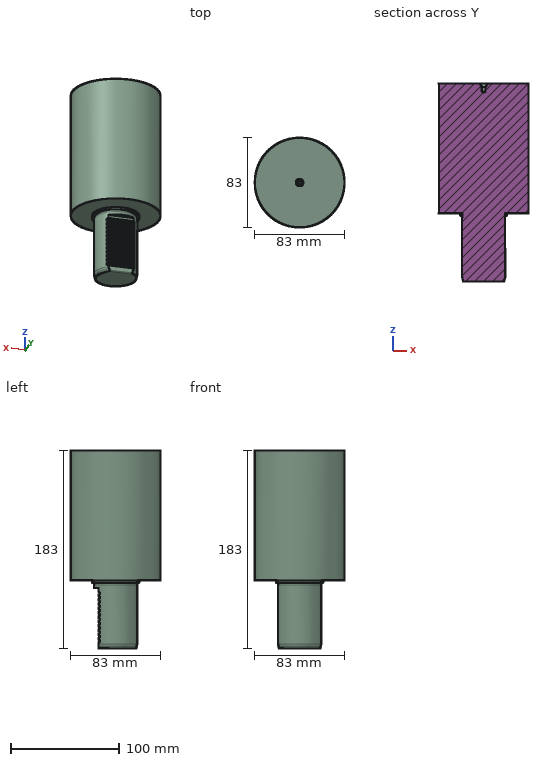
import cadquery as cq
import math

BLOCK_RADIUS = 41.5
TOTAL_HEIGHT = 183.0
SHANK_LENGTH = 63.0
BLOCK_HEIGHT = TOTAL_HEIGHT - SHANK_LENGTH
SHANK_DIAMETER = 40.0
SHANK_RADIUS = SHANK_DIAMETER / 2

RING_OUTER_RADIUS = 22.0
RING_SECTION_RADIUS = 1.1
RING_CENTRE_RADIUS = RING_OUTER_RADIUS - RING_SECTION_RADIUS
NECK_RADIUS = RING_CENTRE_RADIUS - RING_SECTION_RADIUS
NECK_HEIGHT = 2 * RING_SECTION_RADIUS
NECK_TAPER_END = 4.0

LEAD_IN_LENGTH = 4.2
END_TAPER_LENGTH = 2.0
END_TAPER_RADIUS = 19.5
END_RADIUS = 19.0
END_ROUNDING = 1.0

FLAT_DISTANCE = 16.0
FLAT_START = 7.0

GROOVE_COUNT = 12
FIRST_GROOVE = 11.7
GROOVE_SPAN = 44.1
GROOVE_PITCH = GROOVE_SPAN / (GROOVE_COUNT - 1)
GROOVE_DEPTH = 1.3
GROOVE_ROOT_WIDTH = 0.7
GROOVE_ANGLE = 90.0

COUNTERSINK_DIAMETER = 6.8
COUNTERSINK_RADIUS = COUNTERSINK_DIAMETER / 2
COUNTERSINK_ANGLE = 60.0
PILOT_RADIUS = 1.55
PILOT_DEPTH = 7.3
DRILL_POINT_ANGLE = 120.0


def cone_depth(radius_change, included_angle):
    """Axial length over which a cone changes its radius by the given amount."""
    return radius_change / math.tan(math.radians(included_angle / 2))


def turned_body():
    """Block, neck and shank as one turned profile."""
    return (
        cq.Workplane("XZ")
        .moveTo(0, BLOCK_HEIGHT)
        .lineTo(-BLOCK_RADIUS, BLOCK_HEIGHT)
        .lineTo(-BLOCK_RADIUS, 0)
        .lineTo(-NECK_RADIUS, 0)
        .lineTo(-NECK_RADIUS, -NECK_HEIGHT)
        .lineTo(-SHANK_RADIUS, -NECK_TAPER_END)
        .lineTo(-SHANK_RADIUS, LEAD_IN_LENGTH - SHANK_LENGTH)
        .lineTo(-END_TAPER_RADIUS, END_TAPER_LENGTH - SHANK_LENGTH)
        .lineTo(-END_RADIUS, -SHANK_LENGTH)
        .lineTo(0, -SHANK_LENGTH)
        .close()
        .revolve(360, (0, 0, 0), (0, 1, 0))
    )


def flat_cutter():
    """Box that leaves a flat on the +Y side from FLAT_START to the free end."""
    flat_length = SHANK_LENGTH - FLAT_START
    return (
        cq.Workplane("XY")
        .box(SHANK_DIAMETER, SHANK_RADIUS, flat_length, centered=(True, False, False))
        .translate((0, FLAT_DISTANCE, -SHANK_LENGTH))
    )


def groove_cutter(z):
    """Tapered bar along X that cuts one groove into the flat."""
    half_root = GROOVE_ROOT_WIDTH / 2
    half_mouth = half_root + GROOVE_DEPTH * math.tan(math.radians(GROOVE_ANGLE / 2))
    root = FLAT_DISTANCE - GROOVE_DEPTH
    return (
        cq.Workplane("YZ")
        .moveTo(FLAT_DISTANCE, z - half_mouth)
        .lineTo(root, z - half_root)
        .lineTo(root, z + half_root)
        .lineTo(FLAT_DISTANCE, z + half_mouth)
        .close()
        .extrude(SHANK_RADIUS, both=True)
    )


def centre_hole():
    """Countersink and pilot hole with a conical drill point."""
    countersink_end = BLOCK_HEIGHT - cone_depth(COUNTERSINK_RADIUS - PILOT_RADIUS, COUNTERSINK_ANGLE)
    pilot_end = BLOCK_HEIGHT - PILOT_DEPTH
    point_end = pilot_end - cone_depth(PILOT_RADIUS, DRILL_POINT_ANGLE)
    return (
        cq.Workplane("XZ")
        .moveTo(0, BLOCK_HEIGHT)
        .lineTo(COUNTERSINK_RADIUS, BLOCK_HEIGHT)
        .lineTo(PILOT_RADIUS, countersink_end)
        .lineTo(PILOT_RADIUS, pilot_end)
        .lineTo(0, point_end)
        .close()
        .revolve(360, (0, 0, 0), (0, 1, 0))
    )


def make_holder():
    """Turned body with the toothed flat, the rounded end and the centre hole."""
    holder = turned_body().cut(flat_cutter())
    holder = holder.faces("<Z").edges().fillet(END_ROUNDING)
    for index in range(GROOVE_COUNT):
        holder = holder.cut(groove_cutter(-FIRST_GROOVE - index * GROOVE_PITCH))
    return holder.cut(centre_hole())


def make_sealing_ring():
    """Round-section ring seated between the neck and the underside of the block."""
    return (
        cq.Workplane("XZ")
        .center(-RING_CENTRE_RADIUS, -RING_SECTION_RADIUS)
        .circle(RING_SECTION_RADIUS)
        .revolve(360, (RING_CENTRE_RADIUS, 0, 0), (RING_CENTRE_RADIUS, 1, 0))
    )


holder = make_holder()
sealing_ring = make_sealing_ring()

result = cq.Compound.makeCompound([holder.val(), sealing_ring.val()])